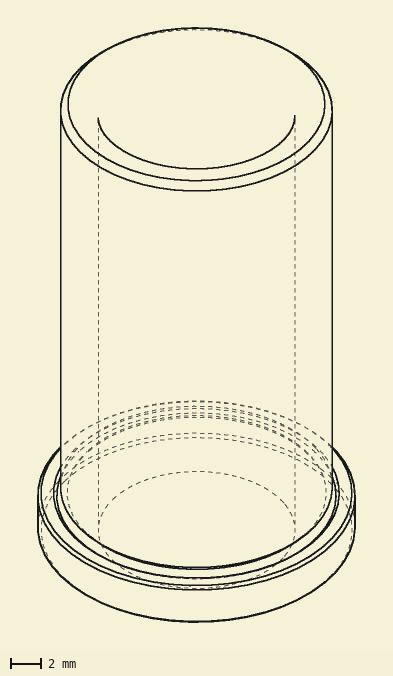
import cadquery as cq

total_height = 35.0
flange_radius = 10.5
flange_height = 3.0
flange_chamfer = 0.2
body_radius = 9.0
body_chamfer = 0.5
bore_radius = 6.5
mouth_fillet = 1.0

relief_top = 3.55
relief_neck_depth = 0.42
relief_face_depth = 0.2
relief_outer_radius = 9.45
relief_corner_radius = 0.28

neck_radius = body_radius - relief_neck_depth
relief_floor = flange_height - relief_face_depth
relief_floor_outer = relief_outer_radius - relief_face_depth


def flanged_sleeve():
    """Flange and body with a through bore."""
    flange = cq.Workplane("XY").circle(flange_radius).extrude(flange_height)
    flange = flange.edges().chamfer(flange_chamfer)
    body = cq.Workplane("XY").circle(body_radius).extrude(total_height)
    body = body.faces(">Z").edges().chamfer(body_chamfer)
    bore = cq.Workplane("XY").circle(bore_radius).extrude(total_height)
    return flange.union(body).cut(bore)


def relief_groove():
    """Ring of removed material: tapered neck, rounded corner, sloped outer wall."""
    corner_top = relief_floor + relief_corner_radius
    return (
        cq.Workplane("XZ")
        .moveTo(body_radius, relief_top)
        .lineTo(neck_radius, corner_top)
        .radiusArc((neck_radius + relief_corner_radius, relief_floor), -relief_corner_radius)
        .lineTo(relief_floor_outer, relief_floor)
        .lineTo(relief_outer_radius, flange_height)
        .lineTo(relief_outer_radius, relief_top)
        .close()
        .revolve(360, (0, 0, 0), (0, 1, 0))
    )


result = flanged_sleeve().cut(relief_groove())

result = result.faces(">Z").edges(cq.selectors.RadiusNthSelector(0)).fillet(mouth_fillet)